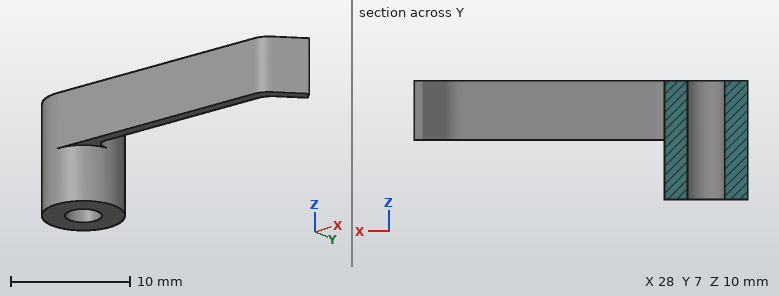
import cadquery as cq
import math

boss_diameter = 7.0
boss_height = 10.0
bore_diameter = 3.1
overall_length = 28.03
arm_thickness = 1.0
arm_height = boss_height / 2
bend_start_x = 20.88
bend_angle = math.radians(45)
outer_bend_radius = 2.0
inner_bend_radius = 2.0
root_fillet_radius = 1.0

boss_radius = boss_diameter / 2
arm_outer_y = -boss_radius
arm_inner_y = arm_outer_y + arm_thickness
tip_x = overall_length - boss_radius
arm_base_z = boss_height - arm_height


def bend_corner(radius, start_x):
    """X of the sharp corner whose rounding begins at start_x."""
    return start_x + radius * math.tan(bend_angle / 2)


def bend_points(corner_x, face_y, radius):
    """Start, middle and end of the arc rounding one face of the bend."""
    start_x = corner_x - radius * math.tan(bend_angle / 2)

    def on_arc(angle):
        return (start_x + radius * math.sin(angle), face_y + radius * (1 - math.cos(angle)))

    return on_arc(0), on_arc(bend_angle / 2), on_arc(bend_angle)


def make_boss():
    return cq.Workplane("XY").circle(boss_radius).extrude(boss_height)


def make_arm():
    """Tangent strip with an upturned tip and a rounded root against the boss."""
    outer_corner_x = bend_corner(outer_bend_radius, bend_start_x)
    inner_corner_x = outer_corner_x - arm_thickness * math.tan(bend_angle / 2)
    outer_start, outer_mid, outer_end = bend_points(outer_corner_x, arm_outer_y, outer_bend_radius)
    inner_start, inner_mid, inner_end = bend_points(inner_corner_x, arm_inner_y, inner_bend_radius)

    outer_tip = (tip_x, arm_outer_y + (tip_x - outer_corner_x) * math.tan(bend_angle))
    inner_tip = (
        tip_x - arm_thickness * math.sin(bend_angle),
        outer_tip[1] + arm_thickness * math.cos(bend_angle),
    )

    fillet_y = arm_inner_y + root_fillet_radius
    center_distance = boss_radius + root_fillet_radius
    fillet_x = math.sqrt(center_distance**2 - fillet_y**2)
    on_boss = (fillet_x * boss_radius / center_distance, fillet_y * boss_radius / center_distance)
    boss_direction = math.atan2(-fillet_y, -fillet_x) % (2 * math.pi)
    arm_direction = 1.5 * math.pi
    middle_direction = (boss_direction + arm_direction) / 2
    fillet_mid = (
        fillet_x + root_fillet_radius * math.cos(middle_direction),
        fillet_y + root_fillet_radius * math.sin(middle_direction),
    )

    return (
        cq.Workplane("XY", origin=(0, 0, arm_base_z))
        .moveTo(0, arm_outer_y)
        .lineTo(*outer_start)
        .threePointArc(outer_mid, outer_end)
        .lineTo(*outer_tip)
        .lineTo(*inner_tip)
        .lineTo(*inner_end)
        .threePointArc(inner_mid, inner_start)
        .lineTo(fillet_x, arm_inner_y)
        .threePointArc(fillet_mid, on_boss)
        .lineTo(0, 0)
        .close()
        .extrude(arm_height)
    )


def make_bore():
    return cq.Workplane("XY").circle(bore_diameter / 2).extrude(boss_height)


result = make_boss().union(make_arm()).cut(make_bore())